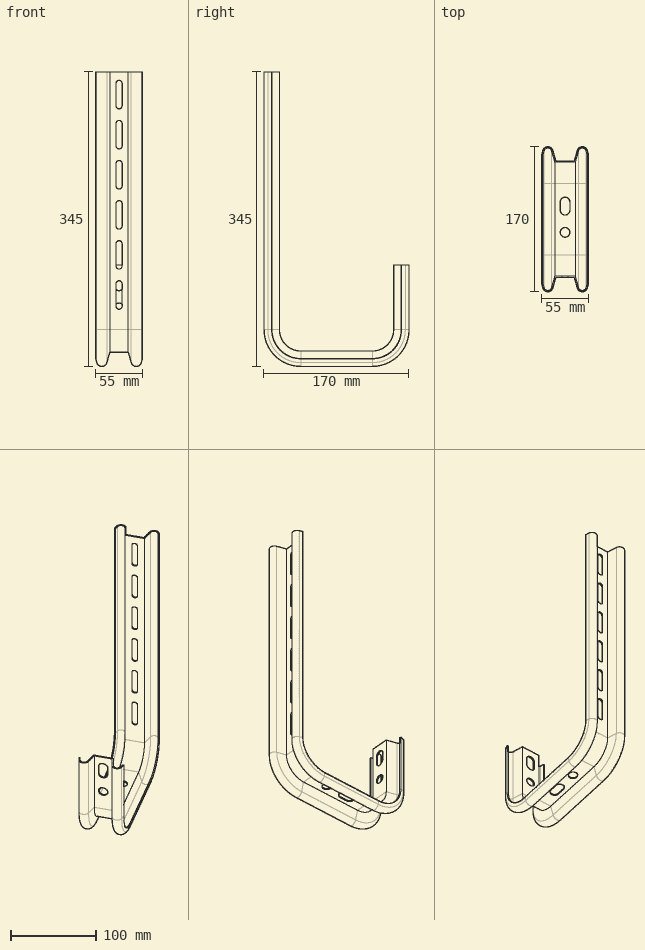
import cadquery as cq
import math

WIDTH = 55.0
SPAN = 170.0
HEIGHT = 345.0
SHORT_LEG_HEIGHT = 119.0
BEND_RADIUS = 43.0

SHEET = 1.65
RAIL_DEPTH = 18.3
ROLL_RADIUS = 6.2
LIP_DEPTH = 9.0
SPLAY = math.radians(16)

LONG_SLOT_COUNT = 6
LONG_SLOT_LENGTH = 33.0
LONG_SLOT_WIDTH = 7.0
LONG_SLOT_PITCH = 47.0
LONG_SLOT_TOP_GAP = 10.0

HOLE_DIAMETER = 11.0
PAIR_SLOT_LENGTH = 20.7
PAIR_SPACING = 30.7
SHORT_LEG_SLOT_GAP = 19.5

FLOOR_LENGTH = SPAN - 2 * BEND_RADIUS
HALF_SPAN = SPAN / 2
HALF_FLOOR = FLOOR_LENGTH / 2

roll_tangent_depth = ROLL_RADIUS * (1 - math.sin(SPLAY))
lip_spread = (LIP_DEPTH - roll_tangent_depth) * math.tan(SPLAY)
roll_center = WIDTH / 2 - lip_spread - ROLL_RADIUS * math.cos(SPLAY)


def skin(inset):
    """Right half of one sheet surface, from web to lip, as (across, depth) points.

    Inset 0 is the outer surface and SHEET the inner one.
    """
    radius = ROLL_RADIUS - inset
    across = radius * math.cos(SPLAY)
    tangent_depth = ROLL_RADIUS - radius * math.sin(SPLAY)
    web_depth = RAIL_DEPTH - SHEET + inset
    flange_end = roll_center - across
    web_edge = flange_end - (web_depth - tangent_depth) * math.tan(SPLAY)
    lip_length = (LIP_DEPTH - roll_tangent_depth) / math.cos(SPLAY)
    return {
        "web": (web_edge, web_depth),
        "flange": (flange_end, tangent_depth),
        "crown": (roll_center, inset),
        "roll": (roll_center + across, tangent_depth),
        "lip": (
            roll_center + across + lip_length * math.sin(SPLAY),
            tangent_depth + lip_length * math.cos(SPLAY),
        ),
    }


def rail_section(plane):
    """Closed section of the rail; depth grows along the plane's local y."""
    outer = skin(0)
    inner = skin(SHEET)

    def mirrored(point):
        return (-point[0], point[1])

    return (
        cq.Workplane(plane)
        .moveTo(*outer["web"])
        .lineTo(*outer["flange"])
        .threePointArc(outer["crown"], outer["roll"])
        .lineTo(*outer["lip"])
        .lineTo(*inner["lip"])
        .lineTo(*inner["roll"])
        .threePointArc(inner["crown"], inner["flange"])
        .lineTo(*inner["web"])
        .lineTo(*mirrored(inner["web"]))
        .lineTo(*mirrored(inner["flange"]))
        .threePointArc(mirrored(inner["crown"]), mirrored(inner["roll"]))
        .lineTo(*mirrored(inner["lip"]))
        .lineTo(*mirrored(outer["lip"]))
        .lineTo(*mirrored(outer["roll"]))
        .threePointArc(mirrored(outer["crown"]), mirrored(outer["flange"]))
        .lineTo(*mirrored(outer["web"]))
        .close()
    )


def section_plane(y, z, along):
    """Plane across the rail, its normal pointing along the rail."""
    return cq.Plane(origin=(0, y, z), xDir=(1, 0, 0), normal=along)


def rail():
    """Long leg, bend, floor, bend and short leg joined end to end."""
    long_leg_start = section_plane(-HALF_SPAN, BEND_RADIUS, (0, 0, 1))
    floor_start = section_plane(-HALF_FLOOR, 0, (0, -1, 0))
    short_leg_start = section_plane(HALF_SPAN, BEND_RADIUS, (0, 0, -1))

    long_leg = rail_section(long_leg_start).extrude(HEIGHT - BEND_RADIUS)
    floor = rail_section(floor_start).extrude(-FLOOR_LENGTH)
    short_leg = rail_section(short_leg_start).extrude(BEND_RADIUS - SHORT_LEG_HEIGHT)

    axis_left = (-3.5, BEND_RADIUS)
    axis_right = (3.5, BEND_RADIUS)
    long_bend = rail_section(long_leg_start).revolve(90, axis_left, axis_right)
    short_bend = rail_section(short_leg_start).revolve(90, axis_right, axis_left)

    return long_leg.union(long_bend).union(floor).union(short_bend).union(short_leg)


def long_leg_slots():
    """Row of narrow slots down the long leg, cutting only its web."""
    first = HEIGHT - LONG_SLOT_TOP_GAP - LONG_SLOT_LENGTH / 2
    centers = [(0, first - i * LONG_SLOT_PITCH) for i in range(LONG_SLOT_COUNT)]
    return (
        cq.Workplane("XZ", origin=(0, -HALF_SPAN, 0))
        .pushPoints(centers)
        .slot2D(LONG_SLOT_LENGTH, LONG_SLOT_WIDTH, 90)
        .extrude(-BEND_RADIUS)
    )


def slot_and_hole(plane, slot_position):
    """Cutter for a slot with a round hole on its lower side along the plane's local y."""
    slot = (
        cq.Workplane(plane)
        .center(0, slot_position)
        .slot2D(PAIR_SLOT_LENGTH, HOLE_DIAMETER, 90)
        .extrude(BEND_RADIUS)
    )
    hole = (
        cq.Workplane(plane)
        .center(0, slot_position - PAIR_SPACING)
        .circle(HOLE_DIAMETER / 2)
        .extrude(BEND_RADIUS)
    )
    return slot.union(hole)


short_leg_outside = cq.Plane(origin=(0, HALF_SPAN, 0), xDir=(1, 0, 0), normal=(0, -1, 0))

result = (
    rail()
    .cut(long_leg_slots())
    .cut(slot_and_hole(cq.Plane.XY(), PAIR_SPACING / 2))
    .cut(slot_and_hole(short_leg_outside, SHORT_LEG_HEIGHT - SHORT_LEG_SLOT_GAP))
)